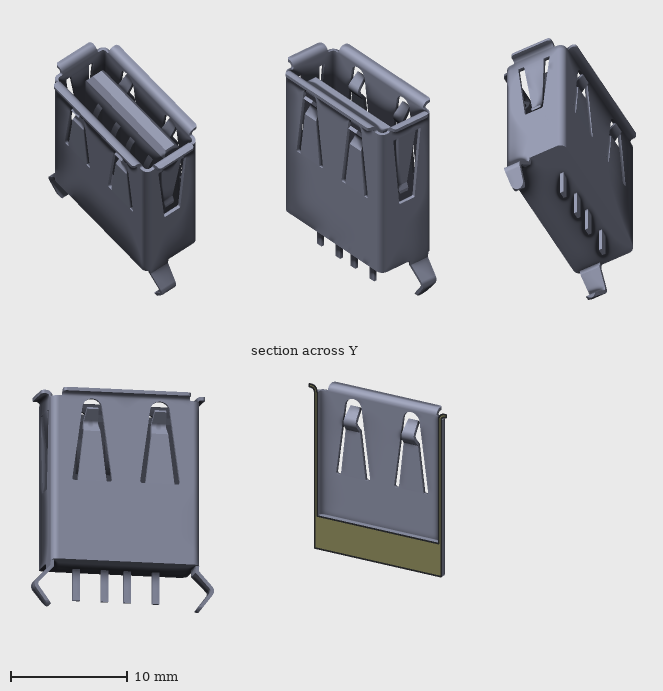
import cadquery as cq
import math

OVERALL_HEIGHT = 18.93

SHEET = 0.3
BEND_INSIDE = 0.32
BEND_OUTSIDE = BEND_INSIDE + SHEET
SHELL_X = 13.1
SHELL_Y = 5.75
SHELL_TOP = 14.37
HALF_X = SHELL_X / 2
HALF_Y = SHELL_Y / 2

LIP_REACH = 0.68
LIP_TOP = SHELL_TOP + BEND_OUTSIDE
LONG_LIP = 11.2
SHORT_LIP = 3.86
LIP_ROOT_FILLET = 0.17
LIP_CORNER = 0.28

WIDE_SPRING_X = 3.0
WIDE_WINDOW_BOTTOM = 6.99
WIDE_WINDOW_TOP = 14.2
WIDE_WINDOW_ARC_Z = 13.44
WIDE_WINDOW_BOTTOM_HALF = 1.78
WIDE_WINDOW_TOP_HALF = 0.87
WIDE_SPRING_ROOT_HALF = 1.27
WIDE_SPRING_KNEE_HALF = 0.74
WIDE_SPRING_TIP_HALF = 0.4
WIDE_SPRING_LEAN = 0.05
WIDE_SPRING_BEND = 0.47
WIDE_SPRING_KNEE_Z = 11.32
WIDE_SPRING_APEX_Z = 12.15
WIDE_SPRING_TIP_Z = 13.33
WIDE_SPRING_DIP = 0.7
WIDE_SPRING_RISE = 0.17

SIDE_WINDOW_TOP = 13.35
SIDE_WINDOW_BOTTOM = 6.44
SIDE_WINDOW_TOP_HALF = 1.53
SIDE_WINDOW_BOTTOM_HALF = 0.87
SIDE_SPRING_ROOT_HALF = 0.97
SIDE_SPRING_TIP_HALF = 0.44
SIDE_SPRING_KNEE_Z = 7.87
SIDE_SPRING_TIP_Z = 7.15
SIDE_SPRING_DIP = 0.59
SIDE_SPRING_HOOK = 0.23
WINDOW_CORNER = 0.17

LEG_Y = -1.42
LEG_ROOT_HALF = 1.0
LEG_TIP_HALF = 0.59
LEG_ROUND_Z = -3.52
LEG_BOTTOM = LIP_TOP - OVERALL_HEIGHT
LEG_KNEE_Z = -0.53
LEG_ELBOW_RADIUS = 0.44
LEG_ELBOW_X = 7.9
LEG_ELBOW_Z = -2.08
LEG_END_X = 6.53
LEG_END_Z = -3.86

BASE_TOP = 3.03
TONGUE_X = 11.07
TONGUE_FRONT_Y = 0.04
TONGUE_BACK_Y = 1.9
TONGUE_TOP = 13.48
TONGUE_CORNER = 0.65
TONGUE_END_DROP = 0.87
TONGUE_FACE_DROP = 0.68
TONGUE_BEVEL = 0.5
TONGUE_FRONT_BEVEL = 0.42

CONTACT_OFFSETS = (1.0, 3.5)
CONTACT_WIDTH = 0.62
PIN_Y = 1.25
PIN_BOTTOM = -2.78
BUMP_BOTTOM = 8.14
BUMP_TOP = 11.17
BUMP_Y = -0.57


def both_ends(part):
    """The part together with its mirror image across the YZ plane."""
    return part.union(part.mirror("YZ"))


def both_faces(part):
    """The part together with its mirror image across the XZ plane."""
    return part.union(part.mirror("XZ"))


def prism_along_y(outline, width):
    """Closed XZ wire extruded symmetrically about Y = 0."""
    return outline.extrude(width / 2, both=True)


def bent_strip(path, rounded, radius):
    """Closed XZ outline of sheet along a centre line, with sharp bends except the rounded one."""
    headings = []
    for (x0, z0), (x1, z1) in zip(path, path[1:]):
        headings.append(math.atan2(z1 - z0, x1 - x0))

    def shifted(point, heading, along, side):
        return (
            point[0] + along * math.cos(heading) - side * math.sin(heading),
            point[1] + along * math.sin(heading) + side * math.cos(heading),
        )

    def draw_bend(outline, i, side, direction):
        """Add the bend at point i on one side of the sheet, walked forward or back."""
        turn = headings[i] - headings[i - 1]
        if i != rounded:
            along = -side * math.tan(turn / 2)
            return outline.lineTo(*shifted(path[i], headings[i - 1], along, side))
        setback = radius * math.tan(abs(turn) / 2)
        to_centre = math.copysign(radius, turn)
        centre = shifted(path[i], headings[i - 1], -setback, to_centre)
        entry = shifted(path[i], headings[i - 1], -setback, side)
        middle = shifted(centre, headings[i - 1] + turn / 2, 0, side - to_centre)
        leave = shifted(path[i], headings[i], setback, side)
        if direction < 0:
            entry, leave = leave, entry
        return outline.lineTo(*entry).threePointArc(middle, leave)

    half = SHEET / 2
    bends = range(1, len(path) - 1)
    outline = cq.Workplane("XZ").moveTo(*shifted(path[0], headings[0], 0, half))
    for i in bends:
        outline = draw_bend(outline, i, half, 1)
    outline = outline.lineTo(*shifted(path[-1], headings[-1], 0, half))
    outline = outline.lineTo(*shifted(path[-1], headings[-1], 0, -half))
    for i in reversed(bends):
        outline = draw_bend(outline, i, -half, -1)
    return outline.lineTo(*shifted(path[0], headings[0], 0, -half)).close()


def turned(part):
    """Turn a part made for the +X wall so that it faces -Y."""
    return part.rotate((0, 0, 0), (0, 0, 1), -90)


def shell_tube():
    outer = cq.Workplane("XY").rect(SHELL_X, SHELL_Y).extrude(SHELL_TOP)
    outer = outer.edges("|Z").fillet(BEND_OUTSIDE)
    return outer.cut(shell_cavity(SHELL_TOP))


def shell_cavity(height):
    cavity = cq.Workplane("XY").rect(SHELL_X - 2 * SHEET, SHELL_Y - 2 * SHEET).extrude(height)
    return cavity.edges("|Z").fillet(BEND_INSIDE)


def lip(wall, length):
    """Lip curling outward from the top of a wall whose outer face is at X = wall."""
    half = length / 2
    foot = half + LIP_ROOT_FILLET
    diagonal = math.sqrt(0.5)
    bend_x = wall + BEND_INSIDE
    sheet = (
        cq.Workplane("XZ")
        .moveTo(wall - SHEET, SHELL_TOP)
        .threePointArc(
            (bend_x - BEND_OUTSIDE * diagonal, SHELL_TOP + BEND_OUTSIDE * diagonal),
            (bend_x, LIP_TOP),
        )
        .lineTo(wall + LIP_REACH, LIP_TOP)
        .lineTo(wall + LIP_REACH, LIP_TOP - SHEET)
        .lineTo(bend_x, LIP_TOP - SHEET)
        .threePointArc(
            (bend_x - BEND_INSIDE * diagonal, SHELL_TOP + BEND_INSIDE * diagonal),
            (wall, SHELL_TOP),
        )
        .close()
    )
    sheet = prism_along_y(sheet, 2 * foot)
    fillet_top = SHELL_TOP + LIP_ROOT_FILLET
    inset = LIP_ROOT_FILLET * (1 - diagonal)
    outline = (
        cq.Workplane("YZ")
        .moveTo(-foot, SHELL_TOP)
        .lineTo(foot, SHELL_TOP)
        .threePointArc((half + inset, SHELL_TOP + inset), (half, fillet_top))
        .lineTo(half, LIP_TOP)
        .lineTo(-half, LIP_TOP)
        .lineTo(-half, fillet_top)
        .threePointArc((-half - inset, SHELL_TOP + inset), (-foot, SHELL_TOP))
        .close()
        .extrude(wall + LIP_REACH)
    )
    return sheet.intersect(outline).edges("|Z and >X").fillet(LIP_CORNER)


def wide_window():
    """Tapered window with a round top, cut through both wide walls."""
    window = (
        cq.Workplane("XZ")
        .moveTo(-WIDE_WINDOW_BOTTOM_HALF, WIDE_WINDOW_BOTTOM)
        .lineTo(WIDE_WINDOW_BOTTOM_HALF, WIDE_WINDOW_BOTTOM)
        .lineTo(WIDE_WINDOW_TOP_HALF, WIDE_WINDOW_ARC_Z)
        .threePointArc((0, WIDE_WINDOW_TOP), (-WIDE_WINDOW_TOP_HALF, WIDE_WINDOW_ARC_Z))
        .close()
    )
    window = prism_along_y(window, SHELL_Y)
    return window.edges("|Y and <Z").fillet(WINDOW_CORNER)


def side_window():
    """Tapered window, wider at the top, cut through both narrow walls."""
    window = (
        cq.Workplane("YZ")
        .moveTo(-SIDE_WINDOW_BOTTOM_HALF, SIDE_WINDOW_BOTTOM)
        .lineTo(SIDE_WINDOW_BOTTOM_HALF, SIDE_WINDOW_BOTTOM)
        .lineTo(SIDE_WINDOW_TOP_HALF, SIDE_WINDOW_TOP)
        .lineTo(-SIDE_WINDOW_TOP_HALF, SIDE_WINDOW_TOP)
        .close()
        .extrude(HALF_X, both=True)
    )
    return window.edges("|X and <Z").fillet(WINDOW_CORNER)


def wide_spring():
    """Spring of the -Y wall: dips inward, then its tip pokes out of the window."""
    middle = HALF_Y - SHEET / 2
    strip = bent_strip(
        [
            (middle, WIDE_WINDOW_BOTTOM - SHEET),
            (middle, WIDE_WINDOW_BOTTOM),
            (middle - WIDE_SPRING_LEAN, WIDE_SPRING_KNEE_Z),
            (middle - WIDE_SPRING_DIP, WIDE_SPRING_APEX_Z),
            (middle + WIDE_SPRING_RISE + SHEET / 2, WIDE_SPRING_TIP_Z),
        ],
        rounded=3,
        radius=WIDE_SPRING_BEND,
    )
    strip = prism_along_y(strip, 2 * WIDE_SPRING_ROOT_HALF)
    right_side = [
        (WIDE_SPRING_ROOT_HALF, WIDE_WINDOW_BOTTOM),
        (WIDE_SPRING_KNEE_HALF, WIDE_SPRING_KNEE_Z),
        (WIDE_SPRING_TIP_HALF, WIDE_WINDOW_TOP),
    ]
    left_side = [(-y, z) for y, z in reversed(right_side)]
    outline = cq.Workplane("YZ").polyline(right_side + left_side).close().extrude(SHELL_Y)
    return turned(strip.intersect(outline))


def side_spring():
    """Spring of the +X wall: leans inward and ends in a small outward hook."""
    knee_x = HALF_X - SIDE_SPRING_DIP
    hook_x = knee_x + SIDE_SPRING_HOOK
    strip = (
        cq.Workplane("XZ")
        .polyline(
            [
                (HALF_X, SIDE_WINDOW_TOP),
                (knee_x, SIDE_SPRING_KNEE_Z),
                (hook_x, SIDE_SPRING_TIP_Z + SHEET),
                (hook_x, SIDE_SPRING_TIP_Z),
                (knee_x - SHEET, SIDE_SPRING_KNEE_Z - SHEET / 2),
                (HALF_X - SHEET, SIDE_WINDOW_TOP),
            ]
        )
        .close()
    )
    strip = prism_along_y(strip, 2 * SIDE_SPRING_ROOT_HALF)
    outline = (
        cq.Workplane("YZ")
        .polyline(
            [
                (-SIDE_SPRING_TIP_HALF, SIDE_SPRING_TIP_Z),
                (SIDE_SPRING_TIP_HALF, SIDE_SPRING_TIP_Z),
                (SIDE_SPRING_ROOT_HALF, SIDE_WINDOW_TOP),
                (-SIDE_SPRING_ROOT_HALF, SIDE_WINDOW_TOP),
            ]
        )
        .close()
        .extrude(SHELL_X)
    )
    return strip.intersect(outline)


def leg():
    """Zigzag leg below the +X wall, tapering to a rounded end."""
    middle = HALF_X - SHEET / 2
    strip = bent_strip(
        [
            (middle, 0),
            (middle, LEG_KNEE_Z),
            (LEG_ELBOW_X, LEG_ELBOW_Z),
            (LEG_END_X, LEG_END_Z),
        ],
        rounded=2,
        radius=LEG_ELBOW_RADIUS,
    )
    strip = prism_along_y(strip, SHELL_Y)
    outline = (
        cq.Workplane("YZ")
        .moveTo(LEG_Y - LEG_ROOT_HALF, 0)
        .lineTo(LEG_Y - LEG_TIP_HALF, LEG_ROUND_Z)
        .threePointArc((LEG_Y, LEG_BOTTOM), (LEG_Y + LEG_TIP_HALF, LEG_ROUND_Z))
        .lineTo(LEG_Y + LEG_ROOT_HALF, 0)
        .close()
        .extrude(SHELL_X)
    )
    return strip.intersect(outline)


def tongue():
    """Upright tongue with rounded back corners and a bevelled top."""
    depth = TONGUE_BACK_Y - TONGUE_FRONT_Y
    half = TONGUE_X / 2
    body = (
        cq.Workplane("XY")
        .center(0, TONGUE_FRONT_Y + depth / 2)
        .rect(TONGUE_X, depth)
        .extrude(TONGUE_TOP)
        .edges("|Z and >Y")
        .fillet(TONGUE_CORNER)
    )
    end_bevels = (
        cq.Workplane("XZ")
        .moveTo(-half, 0)
        .lineTo(half, 0)
        .lineTo(half, TONGUE_TOP - TONGUE_END_DROP)
        .lineTo(half - TONGUE_BEVEL, TONGUE_TOP)
        .lineTo(TONGUE_BEVEL - half, TONGUE_TOP)
        .lineTo(-half, TONGUE_TOP - TONGUE_END_DROP)
        .close()
    )
    face_bevels = (
        cq.Workplane("YZ")
        .moveTo(TONGUE_FRONT_Y, 0)
        .lineTo(TONGUE_BACK_Y, 0)
        .lineTo(TONGUE_BACK_Y, TONGUE_TOP - TONGUE_FACE_DROP)
        .lineTo(TONGUE_BACK_Y - TONGUE_BEVEL, TONGUE_TOP)
        .lineTo(TONGUE_FRONT_Y + TONGUE_FRONT_BEVEL, TONGUE_TOP)
        .lineTo(TONGUE_FRONT_Y, TONGUE_TOP - TONGUE_FACE_DROP)
        .close()
        .extrude(half, both=True)
    )
    return body.intersect(prism_along_y(end_bevels, SHELL_Y)).intersect(face_bevels)


def contact(x):
    """Solder pin under the base and the matching contact bump on the tongue."""
    pin = (
        cq.Workplane("XY", origin=(x, PIN_Y, PIN_BOTTOM))
        .rect(CONTACT_WIDTH, SHEET)
        .extrude(-PIN_BOTTOM)
    )
    bump = (
        cq.Workplane("YZ", origin=(x, 0, 0))
        .moveTo(TONGUE_FRONT_Y, BUMP_BOTTOM)
        .threePointArc((BUMP_Y, (BUMP_BOTTOM + BUMP_TOP) / 2), (TONGUE_FRONT_Y, BUMP_TOP))
        .close()
        .extrude(CONTACT_WIDTH / 2, both=True)
    )
    return pin.union(bump)


shell = shell_tube().cut(side_window())
for spring_x in (-WIDE_SPRING_X, WIDE_SPRING_X):
    shell = shell.cut(wide_window().translate((spring_x, 0, 0)))
    shell = shell.union(both_faces(wide_spring()).translate((spring_x, 0, 0)))
shell = shell.union(both_ends(side_spring()))
shell = shell.union(both_ends(lip(HALF_X, SHORT_LIP)))
shell = shell.union(both_faces(turned(lip(HALF_Y, LONG_LIP))))
shell = shell.union(both_ends(leg()))

body = shell_cavity(BASE_TOP).union(tongue())
for offset in CONTACT_OFFSETS:
    body = body.union(both_ends(contact(offset)))

result = shell.union(body)